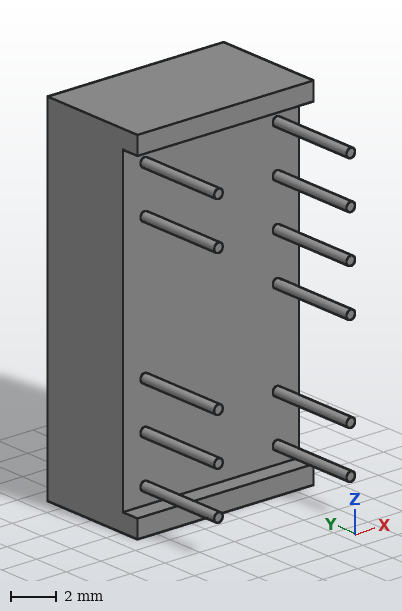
import cadquery as cq

block_width = 10.15
block_height = 19.06
block_depth = 6.1

lip_height = 1.0
lip_depth = 1.0

pin_diameter = 0.5
pin_reach = 4.0
column_spacing = 7.62
row_pitch = column_spacing / 3
left_rows = (-3, -2, -1, 2, 3)
right_rows = (-3, -2, 0, 1, 2, 3)

pin_face_y = lip_depth
pin_length = lip_depth + pin_reach


def make_block():
    """Block recessed between its two end lips, across its full width."""
    block = cq.Workplane("XY").box(block_width, block_depth, block_height)
    block = block.translate((0, block_depth / 2, 0))
    recess = cq.Workplane("XY").box(block_width, lip_depth, block_height - 2 * lip_height)
    return block.cut(recess.translate((0, lip_depth / 2, 0)))


def make_pin_column(x, rows):
    """Round pins standing on the recessed face, pointing toward -Y."""
    centers = [(x, row * row_pitch) for row in rows]
    return (
        cq.Workplane("XZ", origin=(0, pin_face_y, 0))
        .pushPoints(centers)
        .circle(pin_diameter / 2)
        .extrude(pin_length)
    )


result = (
    make_block()
    .union(make_pin_column(-column_spacing / 2, left_rows))
    .union(make_pin_column(column_spacing / 2, right_rows))
)